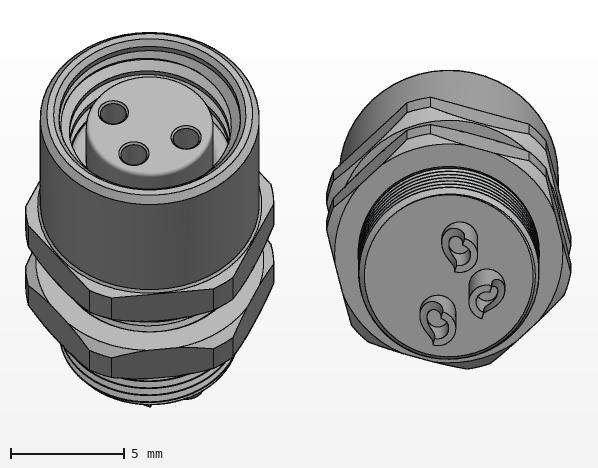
import cadquery as cq
import math

TOTAL_HEIGHT = 18.5
THREAD_BOTTOM = 2.5
NUT_BOTTOM = 6.0
NUT_TOP = 8.03
FLANGE_BOTTOM = 10.0
FLANGE_TOP = 12.0

SLEEVE_RADIUS = 4.85
SLEEVE_CHAMFER = 0.3
SLEEVE_FLARE = 0.11

HEX_ACROSS_FLATS = 10.0
HEX_CORNER_RADIUS = 5.5
FLANGE_FACE_RADIUS = 4.95
NUT_FACE_RADIUS = 5.05
FLANGE_CHAMFER_HEIGHT = 0.46
NUT_CHAMFER_HEIGHT = 0.31
NUT_BORE_RADIUS = 3.66
NUT_COUNTERSINK_RADIUS = 4.01

SEAL_WIRE_RADIUS = 0.5
SEAL_CENTRE_RADIUS = 4.0
SEAL_HEIGHT = FLANGE_BOTTOM - SEAL_WIRE_RADIUS

THREAD_MAJOR_RADIUS = 4.0
THREAD_MINOR_RADIUS = 3.74
THREAD_PITCH = 0.5
THREAD_CREST = 0.05
THREAD_START = 1.87
THREAD_END = 8.57
NECK_RADIUS = 3.55
NECK_BOTTOM = 8.88
SHANK_TOP_CHAMFER = 0.45
SHANK_END_CHAMFER = 0.25

GROOVE_START_ANGLE = 33
THREAD_OVERSHOOT = 0.02

MOUTH_RADIUS = 4.25
LIP_RADIUS = 4.01
LIP_BOTTOM = 17.96
SOCKET_MINOR_RADIUS = 3.55
SOCKET_MAJOR_RADIUS = 4.0
SOCKET_PITCH = 1.0
SOCKET_THREAD_BOTTOM = 15.25
SOCKET_THREAD_TOP = 18.22
SOCKET_FLOOR = 14.8
INNER_SEAL_CENTRE_RADIUS = 3.18

INSERT_RADIUS = 2.81
INSERT_TOP = 17.75
INSERT_FILLET = 0.2
CONTACT_OFFSET = 1.75
CONTACT_HOLE_RADIUS = 0.57
CONTACT_HOLE_DEPTH = 2.22
CONTACT_HOLE_CHAMFER = 0.1
DRILL_POINT_ANGLE = 90

CUP_RADIUS = 0.8
CUP_BORE_RADIUS = 0.48
CUP_BORE_DEPTH = 1.85
CUP_CUT_TOP = 1.98
CUP_CUT_STRAIGHT = 0.39


def revolved(points):
    """Solid of revolution about Z from (radius, height) points."""
    return cq.Workplane("XZ").polyline(points).close().revolve(360, (0, 0, 0), (0, 1, 0))


def torus(centre_radius, wire_radius, height):
    """Sealing ring about Z, centred at the given height."""
    profile = cq.Workplane("XZ").center(centre_radius, height).circle(wire_radius)
    return profile.revolve(360, (-centre_radius, 0, 0), (-centre_radius, 1, 0))


def hexagon(bottom, top, outline):
    """Hexagonal prism about Z, trimmed by a revolved (radius, height) outline."""
    across_corners = HEX_ACROSS_FLATS / math.cos(math.pi / 6)
    prism = (
        cq.Workplane("XY", origin=(0, 0, bottom))
        .polygon(6, across_corners)
        .extrude(top - bottom)
        .rotate((0, 0, 0), (0, 0, 1), 30)
    )
    return prism.intersect(revolved(outline))


def flange():
    """Hexagon with a conical chamfer on its lower side only."""
    return hexagon(FLANGE_BOTTOM, FLANGE_TOP, [
        (0, FLANGE_BOTTOM),
        (FLANGE_FACE_RADIUS, FLANGE_BOTTOM),
        (HEX_CORNER_RADIUS, FLANGE_BOTTOM + FLANGE_CHAMFER_HEIGHT),
        (HEX_CORNER_RADIUS, FLANGE_TOP),
        (0, FLANGE_TOP),
    ])


def nut():
    """Hexagon chamfered on both sides, with a countersunk bore that grips the thread."""
    countersink_depth = NUT_COUNTERSINK_RADIUS - NUT_BORE_RADIUS
    return hexagon(NUT_BOTTOM, NUT_TOP, [
        (NUT_BORE_RADIUS, NUT_BOTTOM + countersink_depth),
        (NUT_COUNTERSINK_RADIUS, NUT_BOTTOM),
        (NUT_FACE_RADIUS, NUT_BOTTOM),
        (HEX_CORNER_RADIUS, NUT_BOTTOM + NUT_CHAMFER_HEIGHT),
        (HEX_CORNER_RADIUS, NUT_TOP - NUT_CHAMFER_HEIGHT),
        (NUT_FACE_RADIUS, NUT_TOP),
        (NUT_COUNTERSINK_RADIUS, NUT_TOP),
        (NUT_BORE_RADIUS, NUT_TOP - countersink_depth),
    ])


def sleeve():
    """Round sleeve, chamfered at its mouth and flared where it meets the flange."""
    return revolved([
        (0, FLANGE_TOP),
        (SLEEVE_RADIUS + SLEEVE_FLARE, FLANGE_TOP),
        (SLEEVE_RADIUS, FLANGE_TOP + SLEEVE_FLARE),
        (SLEEVE_RADIUS, TOTAL_HEIGHT - SLEEVE_CHAMFER),
        (SLEEVE_RADIUS - SLEEVE_CHAMFER, TOTAL_HEIGHT),
        (0, TOTAL_HEIGHT),
    ])


def helical_groove(pitch, start, end, profile):
    """Right-hand groove with ruled faces, from a (radius, height above start) profile."""
    turns = (end - start) / pitch
    edges = [
        cq.Wire.makeHelix(pitch, end - start, radius, cq.Vector(0, 0, start + height))
        for radius, height in profile
    ]
    faces = [cq.Face.makeRuledSurface(edges[i - 1], edges[i]) for i in range(len(edges))]
    for turn in (0, turns):
        angle = 2 * math.pi * turn
        corners = [
            cq.Vector(r * math.cos(angle), r * math.sin(angle), start + z + turn * pitch)
            for r, z in profile
        ]
        faces.append(cq.Face.makeFromWires(cq.Wire.makePolygon(corners, close=True)))
    groove = cq.Workplane(obj=cq.Solid.makeSolid(cq.Shell.makeShell(faces)))
    return groove.rotate((0, 0, 0), (0, 0, 1), GROOVE_START_ANGLE)


def socket():
    """Threaded space removed from the sleeve around the contact insert."""
    bore = revolved([
        (0, SOCKET_FLOOR),
        (SOCKET_MINOR_RADIUS, SOCKET_FLOOR),
        (SOCKET_MINOR_RADIUS, LIP_BOTTOM - (LIP_RADIUS - SOCKET_MINOR_RADIUS)),
        (LIP_RADIUS, LIP_BOTTOM),
        (LIP_RADIUS, TOTAL_HEIGHT - (MOUTH_RADIUS - LIP_RADIUS)),
        (MOUTH_RADIUS, TOTAL_HEIGHT),
        (0, TOTAL_HEIGHT),
    ])
    inner = SOCKET_MINOR_RADIUS - THREAD_OVERSHOOT
    flank = math.tan(math.radians(30))
    crest_half = SOCKET_PITCH * 3 / 8
    root_half = crest_half - (SOCKET_MAJOR_RADIUS - SOCKET_MINOR_RADIUS) * flank
    mouth_half = crest_half + THREAD_OVERSHOOT * flank
    groove = helical_groove(SOCKET_PITCH, SOCKET_THREAD_BOTTOM, SOCKET_THREAD_TOP, [
        (SOCKET_MAJOR_RADIUS, root_half),
        (SOCKET_MAJOR_RADIUS, -root_half),
        (inner, -mouth_half),
        (inner, mouth_half),
    ])
    return bore.union(groove)


def threaded_shank():
    """Shank with a right-hand V thread, a neck above it and a solid step behind the seal."""
    blank = revolved([
        (0, THREAD_BOTTOM),
        (THREAD_MAJOR_RADIUS - SHANK_END_CHAMFER, THREAD_BOTTOM),
        (THREAD_MAJOR_RADIUS, THREAD_BOTTOM + SHANK_END_CHAMFER),
        (THREAD_MAJOR_RADIUS, NECK_BOTTOM - SHANK_TOP_CHAMFER),
        (NECK_RADIUS, NECK_BOTTOM),
        (NECK_RADIUS, SEAL_HEIGHT),
        (SEAL_CENTRE_RADIUS, SEAL_HEIGHT),
        (SEAL_CENTRE_RADIUS, FLANGE_BOTTOM),
        (0, FLANGE_BOTTOM),
    ])
    crest_half = (THREAD_PITCH - THREAD_CREST) / 2
    outer = THREAD_MAJOR_RADIUS + THREAD_OVERSHOOT
    slope = crest_half / (THREAD_MAJOR_RADIUS - THREAD_MINOR_RADIUS)
    outer_half = crest_half + THREAD_OVERSHOOT * slope
    groove = helical_groove(THREAD_PITCH, THREAD_START, THREAD_END, [
        (THREAD_MINOR_RADIUS, 0),
        (outer, outer_half),
        (outer, -outer_half),
    ])
    return blank.cut(groove)


def insert():
    """Cylindrical contact carrier with a rounded rim."""
    return (
        cq.Workplane("XY", origin=(0, 0, SOCKET_FLOOR))
        .circle(INSERT_RADIUS)
        .extrude(INSERT_TOP - SOCKET_FLOOR)
        .faces(">Z")
        .edges()
        .fillet(INSERT_FILLET)
    )


def contact_hole():
    """Drilled contact hole on the Z axis, with a chamfered rim and a conical bottom."""
    tip = CONTACT_HOLE_RADIUS / math.tan(math.radians(DRILL_POINT_ANGLE / 2))
    bottom = INSERT_TOP - CONTACT_HOLE_DEPTH
    return revolved([
        (0, bottom - tip),
        (CONTACT_HOLE_RADIUS, bottom),
        (CONTACT_HOLE_RADIUS, INSERT_TOP - CONTACT_HOLE_CHAMFER),
        (CONTACT_HOLE_RADIUS + CONTACT_HOLE_CHAMFER, INSERT_TOP),
        (0, INSERT_TOP),
    ])


def solder_cup():
    """Cup on the Z axis, bored from below and cut away on its -Y side."""
    cup = cq.Workplane("XY").circle(CUP_RADIUS).extrude(THREAD_BOTTOM)
    bore = cq.Workplane("XY").circle(CUP_BORE_RADIUS).extrude(CUP_BORE_DEPTH)
    rise = CUP_CUT_TOP - CUP_CUT_STRAIGHT
    arc_radius = (rise**2 + CUP_RADIUS**2) / (2 * CUP_RADIUS)
    half_angle = math.asin(rise / arc_radius) / 2
    middle = (
        -arc_radius * (1 - math.cos(half_angle)),
        CUP_CUT_STRAIGHT + arc_radius * math.sin(half_angle),
    )
    cutaway = (
        cq.Workplane("YZ", origin=(-CUP_RADIUS, 0, 0))
        .moveTo(0, 0)
        .lineTo(0, CUP_CUT_STRAIGHT)
        .threePointArc(middle, (-CUP_RADIUS, CUP_CUT_TOP))
        .lineTo(-CUP_RADIUS, 0)
        .close()
        .extrude(2 * CUP_RADIUS)
    )
    return cup.cut(bore).cut(cutaway)


part = sleeve().cut(socket()).union(insert())
part = part.union(torus(INNER_SEAL_CENTRE_RADIUS, SEAL_WIRE_RADIUS, SOCKET_FLOOR))
part = part.union(flange()).union(threaded_shank()).union(nut())
part = part.union(torus(SEAL_CENTRE_RADIUS, SEAL_WIRE_RADIUS, SEAL_HEIGHT))

for angle, opening in ((180, 180), (270, 0), (0, 180)):
    x = CONTACT_OFFSET * math.cos(math.radians(angle))
    y = CONTACT_OFFSET * math.sin(math.radians(angle))
    part = part.cut(contact_hole().translate((x, y, 0)))
    cup = solder_cup().rotate((0, 0, 0), (0, 0, 1), opening)
    part = part.union(cup.translate((x, y, 0)))

result = part.solids().val()